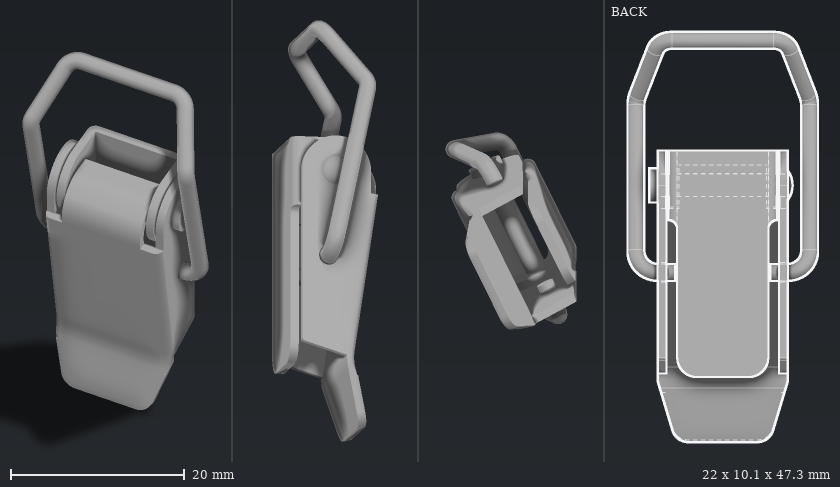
import cadquery as cq
import math


SHEET = 1.0
CHEEK_RADIUS = 4.0
PIN_RADIUS = 1.3

BASE_WIDTH = 12.5
BASE_BOTTOM = -22.1
BASE_CORNER_RADIUS = 2.25
BASE_INNER_WIDTH = BASE_WIDTH - 2 * SHEET
BASE_BACK = CHEEK_RADIUS + SHEET

PIN_HEAD_RADIUS = 2.0
PIN_HEAD_LENGTH = 1.0
PIN_DOME_RADIUS = 1.7
PIN_DOME_HEIGHT = 0.55

LEVER_WIDTH = 15.0
LEVER_INNER_WIDTH = LEVER_WIDTH - 2 * SHEET
LEVER_EDGE_RADIUS = 0.95
LEVER_TILT = math.radians(8.5)
NOTCH_BOTTOM = -2.65
PLATE_BOTTOM = -21.05
CHEEK_BACK_BOTTOM = -20.1
CHEEK_FRONT_BOTTOM = -21.65
CHEEK_CORNER_RADIUS = 0.4

CURL_WIDTH = 10.0
CURL_RADIUS = 4.0
CURL_CENTRE_Y = -1.1
CURL_CENTRE_Z = -1.65
CURL_END_Y = 1.0

TAB_TILT = math.radians(15)
TAB_BEND_RADIUS = 5.0
TAB_LENGTH = 6.5
TAB_ROUNDED_LENGTH = 0.8
TAB_END_WIDTH = 10.8
TAB_TAPER_START = 0.75
TAB_CORNER_RADIUS = 2.0

WIRE_RADIUS = 1.0
BAIL_WIDTH = 22.0
BAIL_TOP_BEND_RADIUS = 2.0
BAIL_SHOULDER_BEND_RADIUS = 1.5
BAIL_FOOT_BEND_RADIUS = 2.5
BAIL_FOOT = (0.95, -10.0)
BAIL_SHOULDER = (-3.2, 9.85)
BAIL_TOP = (1.95, 16.7)
BAIL_TOP_HALF_WIDTH = 7.35
BAIL_HOLE_RADIUS = 1.15
BAIL_END_X = LEVER_INNER_WIDTH / 2 - SHEET

FAR = 47.3


def across(profile, width):
    """Extrude a YZ profile symmetrically along X."""
    return profile.extrude(width / 2, both=True)


def x_cylinder(radius, start, end, y=0.0, z=0.0):
    return cq.Workplane("YZ", origin=(start, y, z)).circle(radius).extrude(end - start)


def make_base_channel():
    """Back plate with two rounded cheeks at its upper end."""
    depth = BASE_BACK + CHEEK_RADIUS
    height = CHEEK_RADIUS - BASE_BOTTOM
    blank = (
        cq.Workplane("XY")
        .box(BASE_WIDTH, depth, height, centered=(True, False, False))
        .translate((0, -CHEEK_RADIUS, BASE_BOTTOM))
        .edges("|Z and >Y")
        .fillet(SHEET)
    )
    cavity = cq.Workplane("XY").box(BASE_INNER_WIDTH, 2 * CHEEK_RADIUS, FAR * 2)
    side_outline = (
        cq.Workplane("YZ")
        .moveTo(BASE_BACK, CHEEK_RADIUS)
        .lineTo(0, CHEEK_RADIUS)
        .threePointArc((-CHEEK_RADIUS, 0), (0, -CHEEK_RADIUS))
        .lineTo(CHEEK_RADIUS, -CHEEK_RADIUS)
        .lineTo(CHEEK_RADIUS, BASE_BOTTOM)
        .lineTo(BASE_BACK, BASE_BOTTOM)
        .close()
    )
    half = BASE_WIDTH / 2
    neck = BASE_INNER_WIDTH / 2
    arc_offset = SHEET * (1 - math.sqrt(0.5))
    arc_end = -CHEEK_RADIUS - SHEET
    arc_middle = (neck + arc_offset, -CHEEK_RADIUS - arc_offset)
    back_outline = (
        cq.Workplane("XZ")
        .moveTo(-half, CHEEK_RADIUS)
        .lineTo(half, CHEEK_RADIUS)
        .lineTo(half, -CHEEK_RADIUS)
        .threePointArc(arc_middle, (neck, arc_end))
        .lineTo(neck, BASE_BOTTOM)
        .lineTo(-neck, BASE_BOTTOM)
        .lineTo(-neck, arc_end)
        .threePointArc((-arc_middle[0], arc_middle[1]), (-half, -CHEEK_RADIUS))
        .close()
        .extrude(FAR, both=True)
        .edges("|Y and <Z")
        .fillet(BASE_CORNER_RADIUS)
    )
    return blank.cut(cavity).intersect(across(side_outline, BASE_WIDTH)).intersect(back_outline)


def make_pin():
    """Pivot pin with a flat head at +X and a domed end at -X."""
    side = LEVER_WIDTH / 2
    shaft = x_cylinder(PIN_RADIUS, -side, side)
    head = x_cylinder(PIN_HEAD_RADIUS, side, side + PIN_HEAD_LENGTH)
    sphere_radius = (PIN_DOME_RADIUS**2 + PIN_DOME_HEIGHT**2) / (2 * PIN_DOME_HEIGHT)
    dome = (
        cq.Workplane("XY")
        .sphere(sphere_radius)
        .translate((sphere_radius - side - PIN_DOME_HEIGHT, 0, 0))
        .intersect(x_cylinder(PIN_DOME_RADIUS, -side - PIN_DOME_HEIGHT, -side))
    )
    return shaft.union(head).union(dome)


def make_base():
    """The base carries the pin as part of the same body."""
    return make_base_channel().union(make_pin())


PLATE_INWARD = (math.cos(LEVER_TILT), math.sin(LEVER_TILT))
TAB_INWARD = (math.cos(TAB_TILT), -math.sin(TAB_TILT))
TAB_DOWN = (-math.sin(TAB_TILT), -math.cos(TAB_TILT))


def shifted(point, direction, distance):
    return (point[0] + direction[0] * distance, point[1] + direction[1] * distance)


CURL_CENTRE = (CURL_CENTRE_Y, CURL_CENTRE_Z)
CURL_FOOT = shifted(CURL_CENTRE, PLATE_INWARD, -CURL_RADIUS)


def plate_front(z):
    """Point on the front face of the lever plate at height z."""
    return (CURL_FOOT[0] + (CURL_FOOT[1] - z) * math.tan(LEVER_TILT), z)


def plate_back(z):
    """Point on the back face, square behind the front point at height z."""
    return shifted(plate_front(z), PLATE_INWARD, SHEET)


BEND_CENTRE = shifted(plate_front(PLATE_BOTTOM), PLATE_INWARD, -TAB_BEND_RADIUS)
BEND_BACK_RADIUS = TAB_BEND_RADIUS + SHEET


def bend_point(radius, angle):
    """Point on the tab bend; the angle is the tilt of the inward direction above horizontal."""
    return shifted(BEND_CENTRE, (math.cos(angle), math.sin(angle)), radius)


BEND_END = bend_point(TAB_BEND_RADIUS, -TAB_TILT)
BEND_BACK_END = bend_point(BEND_BACK_RADIUS, -TAB_TILT)
BEND_MIDDLE_ANGLE = (LEVER_TILT - TAB_TILT) / 2
CHEEK_FOOT_ANGLE = math.asin((CHEEK_FRONT_BOTTOM - BEND_CENTRE[1]) / BEND_BACK_RADIUS)
CHEEK_FOOT = bend_point(BEND_BACK_RADIUS, CHEEK_FOOT_ANGLE)


def make_lever_channel():
    """Front plate and tab bend with two side cheeks, rounded along the front corners."""
    profile = (
        cq.Workplane("YZ")
        .moveTo(CHEEK_RADIUS, CHEEK_BACK_BOTTOM)
        .lineTo(CHEEK_RADIUS, 0)
        .threePointArc((0, CHEEK_RADIUS), (-CHEEK_RADIUS, 0))
        .lineTo(-CHEEK_RADIUS, NOTCH_BOTTOM)
        .lineTo(*plate_front(NOTCH_BOTTOM))
        .lineTo(*plate_front(PLATE_BOTTOM))
        .threePointArc(bend_point(TAB_BEND_RADIUS, BEND_MIDDLE_ANGLE), BEND_END)
        .lineTo(*shifted(BEND_END, TAB_DOWN, TAB_ROUNDED_LENGTH))
        .lineTo(*shifted(BEND_BACK_END, TAB_DOWN, TAB_ROUNDED_LENGTH))
        .lineTo(*BEND_BACK_END)
        .threePointArc(bend_point(BEND_BACK_RADIUS, (CHEEK_FOOT_ANGLE - TAB_TILT) / 2), CHEEK_FOOT)
        .close()
    )
    front_edges = cq.selectors.BoxSelector(
        (-LEVER_WIDTH, plate_front(NOTCH_BOTTOM)[0], BEND_END[1] - TAB_ROUNDED_LENGTH),
        (LEVER_WIDTH, plate_front(PLATE_BOTTOM)[0] + SHEET / 4, NOTCH_BOTTOM - SHEET),
    )
    cavity = (
        cq.Workplane("YZ")
        .moveTo(*CHEEK_FOOT)
        .threePointArc(
            bend_point(BEND_BACK_RADIUS, (CHEEK_FOOT_ANGLE + LEVER_TILT) / 2),
            plate_back(PLATE_BOTTOM),
        )
        .lineTo(*plate_back(FAR))
        .lineTo(FAR, FAR)
        .lineTo(FAR, CHEEK_FRONT_BOTTOM)
        .close()
    )
    return (
        across(profile, LEVER_WIDTH)
        .edges(cq.selectors.NearestToPointSelector((0, CHEEK_RADIUS, CHEEK_BACK_BOTTOM)))
        .fillet(CHEEK_CORNER_RADIUS)
        .edges(front_edges)
        .edges("not |X")
        .fillet(LEVER_EDGE_RADIUS)
        .cut(across(cavity, LEVER_INNER_WIDTH))
    )


def make_curl():
    """Middle strip of the plate, rolled back over the pin into a flat lip."""
    top = CURL_CENTRE_Z + CURL_RADIUS
    inner_radius = CURL_RADIUS - SHEET
    middle_angle = (LEVER_TILT - math.pi / 2) / 2
    middle = (-math.cos(middle_angle), -math.sin(middle_angle))
    strip_bottom = NOTCH_BOTTOM - SHEET
    profile = (
        cq.Workplane("YZ")
        .moveTo(CURL_END_Y, top)
        .lineTo(CURL_CENTRE_Y, top)
        .threePointArc(shifted(CURL_CENTRE, middle, CURL_RADIUS), CURL_FOOT)
        .lineTo(*plate_front(strip_bottom))
        .lineTo(*plate_back(strip_bottom))
        .lineTo(*shifted(CURL_FOOT, PLATE_INWARD, SHEET))
        .threePointArc(
            shifted(CURL_CENTRE, middle, inner_radius),
            (CURL_CENTRE_Y, top - SHEET),
        )
        .lineTo(CURL_END_Y, top - SHEET)
        .close()
    )
    return across(profile, CURL_WIDTH)


def make_tab():
    """Flat finger tab below its rounded start, before its sides are tapered."""
    corners = [
        shifted(BEND_END, TAB_DOWN, TAB_ROUNDED_LENGTH),
        shifted(BEND_END, TAB_DOWN, TAB_LENGTH),
        shifted(BEND_BACK_END, TAB_DOWN, TAB_LENGTH),
        shifted(BEND_BACK_END, TAB_DOWN, TAB_ROUNDED_LENGTH),
    ]
    profile = cq.Workplane("YZ").polyline(corners).close()
    return across(profile, LEVER_WIDTH)


def make_taper_outline():
    """Lever outline seen square to the tab, with tapered sides and rounded end corners."""
    tab_plane = cq.Plane(
        origin=(0, *BEND_END),
        xDir=(1, 0, 0),
        normal=(0, -TAB_INWARD[0], -TAB_INWARD[1]),
    )
    side = LEVER_WIDTH / 2
    end = TAB_END_WIDTH / 2
    corners = [
        (-side, FAR),
        (side, FAR),
        (side, TAB_TAPER_START),
        (end, -TAB_LENGTH),
        (-end, -TAB_LENGTH),
        (-side, TAB_TAPER_START),
    ]
    outline = cq.Workplane(tab_plane).polyline(corners).close()
    end_corners = cq.selectors.BoxSelector(
        (-side, -FAR, BEND_END[1] - TAB_LENGTH - SHEET),
        (side, FAR, BEND_END[1] - TAB_LENGTH + SHEET),
    )
    return (
        outline.extrude(FAR, both=True)
        .edges(cq.selectors.ParallelDirSelector(tab_plane.zDir))
        .edges(end_corners)
        .fillet(TAB_CORNER_RADIUS)
    )


def make_lever():
    side = LEVER_WIDTH / 2
    pin_hole = x_cylinder(PIN_RADIUS, -side, side)
    bail_hole = x_cylinder(BAIL_HOLE_RADIUS, -side, side, *BAIL_FOOT)
    outline = make_taper_outline()
    return (
        make_lever_channel()
        .intersect(outline)
        .union(make_tab().intersect(outline))
        .union(make_curl())
        .cut(pin_hole)
        .cut(bail_hole)
    )


def bent_wire_path(corners, bend_radii):
    """Straight runs through the corner points, joined by tangent arcs of the given radii."""
    edges = []
    start = corners[0]
    for before, corner, after, radius in zip(corners, corners[1:], corners[2:], bend_radii):
        back = (before - corner).normalized()
        ahead = (after - corner).normalized()
        half_angle = back.getAngle(ahead) / 2
        tangent = radius / math.tan(half_angle)
        to_centre = (back + ahead).normalized()
        arc_start = corner + back * tangent
        arc_end = corner + ahead * tangent
        arc_middle = corner + to_centre * (radius / math.sin(half_angle) - radius)
        edges.append(cq.Edge.makeLine(start, arc_start))
        edges.append(cq.Edge.makeThreePointArc(arc_start, arc_middle, arc_end))
        start = arc_end
    edges.append(cq.Edge.makeLine(start, corners[-1]))
    return cq.Wire.assembleEdges(edges)


def make_bail():
    """Bent wire loop whose two feet turn inward through the lever cheeks."""
    leg_x = BAIL_WIDTH / 2 - WIRE_RADIUS
    half_loop = [
        (BAIL_END_X, BAIL_FOOT),
        (leg_x, BAIL_FOOT),
        (leg_x, BAIL_SHOULDER),
        (BAIL_TOP_HALF_WIDTH, BAIL_TOP),
    ]
    left = [cq.Vector(-x, *point) for x, point in half_loop]
    right = [cq.Vector(x, *point) for x, point in reversed(half_loop)]
    half_bends = [BAIL_FOOT_BEND_RADIUS, BAIL_SHOULDER_BEND_RADIUS, BAIL_TOP_BEND_RADIUS]
    path = bent_wire_path(left + right, half_bends + half_bends[::-1])
    return (
        cq.Workplane("YZ", origin=left[0].toTuple())
        .circle(WIRE_RADIUS)
        .sweep(cq.Workplane(path))
    )


base = make_base()
lever = make_lever()
bail = make_bail()

result = cq.Compound.makeCompound([base.val(), lever.val(), bail.val()])